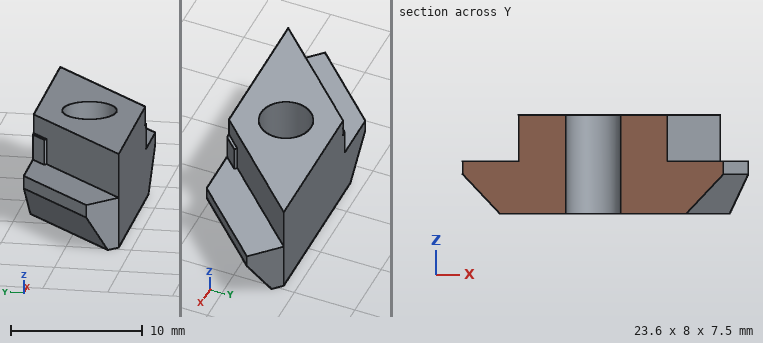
import cadquery as cq
import math

BODY_DEPTH = 8.0
NECK_WIDTH = 8.0
HEAD_WIDTH = 14.0
HEAD_BASE_WIDTH = 10.0
TOTAL_HEIGHT = 7.5
HEAD_HEIGHT = 4.0
SLOPE_HEIGHT = 3.0
HOLE_DIAMETER = 4.134
PAD_THICKNESS = 0.25
PAD_LENGTH = 1.5
PAD_HEIGHT = 2.0

SKEW_ANGLE = 45

HALF_DEPTH = BODY_DEPTH / 2
DIAGONAL = math.sqrt(2)
CORNER_X = HALF_DEPTH + NECK_WIDTH / 2 * DIAGONAL
END_DISTANCE = (CORNER_X + HALF_DEPTH) / DIAGONAL
PAD_OFFSET = NECK_WIDTH / 2 + PAD_THICKNESS


def make_depth_limit():
    """Slab between the two flat long sides."""
    return cq.Workplane("XY").box(
        2 * CORNER_X + HEAD_WIDTH, BODY_DEPTH, TOTAL_HEIGHT, centered=(True, True, False)
    )


def make_head():
    """Head section with sloped lower sides, extruded along the skew direction."""
    half_width = HEAD_WIDTH / 2
    half_base = HEAD_BASE_WIDTH / 2
    return (
        cq.Workplane("YZ")
        .polyline([
            (-half_base, 0),
            (half_base, 0),
            (half_width, SLOPE_HEIGHT),
            (half_width, HEAD_HEIGHT),
            (-half_width, HEAD_HEIGHT),
            (-half_width, SLOPE_HEIGHT),
        ])
        .close()
        .extrude(END_DISTANCE, both=True)
    )


def make_neck():
    """Full-height bar whose sharp corners meet the ends of the head."""
    return cq.Workplane("XY").box(
        2 * END_DISTANCE, NECK_WIDTH, TOTAL_HEIGHT, centered=(True, True, False)
    )


def make_pad():
    """Thin pad on one neck side, running in from the obtuse corner of the neck."""
    outer_start = PAD_OFFSET - BODY_DEPTH / DIAGONAL
    pad_end = outer_start + PAD_LENGTH
    return (
        cq.Workplane("XY")
        .workplane(offset=HEAD_HEIGHT)
        .moveTo(-END_DISTANCE, -PAD_OFFSET)
        .lineTo(pad_end, -PAD_OFFSET)
        .lineTo(pad_end, 0)
        .lineTo(-END_DISTANCE, 0)
        .close()
        .extrude(PAD_HEIGHT)
    )


def turn(solid, angle):
    """Turn a solid about the vertical centre line."""
    return solid.rotate((0, 0, 0), (0, 0, 1), angle)


def make_body():
    """Head, neck and the two opposite pads, cut off at the flat long sides."""
    skewed = make_head().union(make_neck())
    for half_turn in (0, 180):
        skewed = skewed.union(turn(make_pad(), half_turn))
    return turn(skewed, SKEW_ANGLE).intersect(make_depth_limit())


def make_hole():
    """Through hole on the vertical centre line."""
    return cq.Workplane("XY").circle(HOLE_DIAMETER / 2).extrude(TOTAL_HEIGHT)


result = make_body().cut(make_hole())